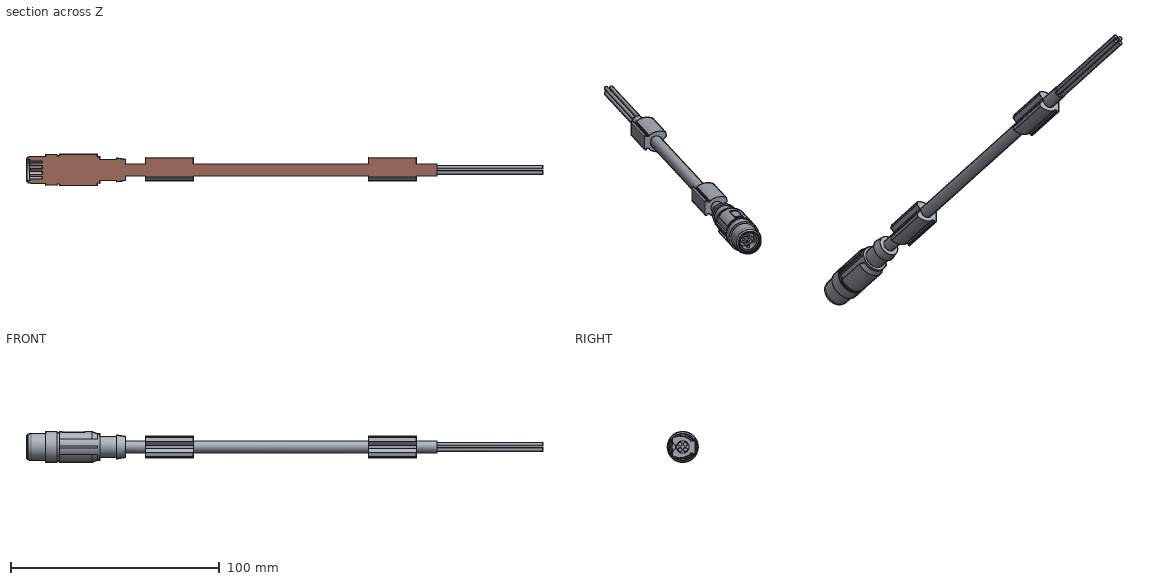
import cadquery as cq
import math


total_length = 247.3

nut_front_length = 9.2
nut_ring_end = 14.5
grip_start = 15.8
taper_start = 31.5
grip_end = 34.0
shoulder_end = 35.0
flange_start = 43.0
connector_end = 47.5

nut_front_radius = 13.0 / 2
nut_nose_radius = 5.5
nut_step_radius = 6.2
nut_step_length = 0.7
nut_nose_length = 2.2
grip_radius = 7.5
neck_radius = 7.0
shoulder_radius = 6.5
sleeve_radius = 10.1 / 2
flange_radius = 11.5 / 2

mouth_radius = 5.0
mouth_depth = 1.5
socket_radius = 4.2
socket_depth = 7.5
pin_radius = 0.62
pin_circle_radius = 2.7
pin_setback = 1.5
pin_count = 4
key_width = 1.0
key_height = 1.0

panel_width = 7.5
panel_radius = 6.5
rib_tip = 15.0 / 2
rib_width = 1.0

window_start = 17.0
window_end = 28.0
window_width = 4.0
window_floor = 7.0
notch_length = 2.7
notch_floor = 6.2

cable_radius = 3.0
cable_end = 196.5
wire_radius = 0.95
wire_offset = 1.29
wire_embed = 2.5

clip_length = 23.0
clip_starts = (57.0, 163.7)
clip_half_height = 5.2
clip_arc_radius = 8.0
clip_arc_center_y = -1.5
clip_nose_y = -4.7
clip_front_y = -5.2
clip_back_y = 3.5
clip_neck_y = 3.7
clip_neck_half_height = 3.0
plate_inner_y = 5.0
plate_outer_y = 6.0
plate_half_height = 3.7
plate_round = 0.7
groove_floor_y = -3.5
groove_floor_half_height = 0.7
groove_mouth_half_height = 5.2 / 2


def cylinder(start, end, radius, y=0.0, z=0.0):
    """Cylinder along X between two stations."""
    return cq.Workplane("YZ", origin=(start, y, z)).circle(radius).extrude(end - start)


def block(start, end, y_min, y_max, z_min, z_max):
    """Box given by its limits along each axis."""
    size = (end - start, y_max - y_min, z_max - z_min)
    return cq.Workplane("XY", origin=(start, y_min, z_min)).box(*size, centered=False)


def connector_body():
    """Turned outline of nut, grip, shoulder and strain relief."""
    outline = [
        (0, 0),
        (0, nut_nose_radius),
        (nut_step_length, nut_step_radius),
        (nut_nose_length, nut_front_radius),
        (nut_front_length, nut_front_radius),
        (nut_front_length, grip_radius),
        (nut_ring_end, grip_radius),
        (nut_ring_end, neck_radius),
        (grip_start, neck_radius),
        (grip_start, grip_radius),
        (taper_start, grip_radius),
        (grip_end, shoulder_radius),
        (shoulder_end, shoulder_radius),
        (shoulder_end, sleeve_radius),
        (flange_start, sleeve_radius),
        (flange_start, flange_radius),
        (connector_end, sleeve_radius),
        (connector_end, 0),
    ]
    return cq.Workplane("XY").polyline(outline).close().revolve(360, (0, 0, 0), (1, 0, 0))


def side_panels():
    """Material removed from both sides of the grip, down to the panel radius."""
    half_width = panel_width / 2
    band = block(grip_start, grip_end, -grip_radius, grip_radius, -half_width, half_width)
    return band.cut(cylinder(grip_start, grip_end, panel_radius))


def grip_ribs():
    """One thin rib standing on each side panel."""
    half_width = rib_width / 2
    return block(grip_start, grip_end, -rib_tip, rib_tip, -half_width, half_width)


def marker_window():
    """Shallow window on top of the grip with a deeper notch at its front end."""
    half_width = window_width / 2
    notch_end = window_start + notch_length
    window = block(window_start, window_end, -half_width, half_width, window_floor, grip_radius)
    notch = block(window_start, notch_end, -half_width, half_width, notch_floor, grip_radius)
    return window.union(notch)


def socket():
    """Stepped round cavity in the front of the nut."""
    return cylinder(0, mouth_depth, mouth_radius).union(cylinder(0, socket_depth, socket_radius))


def contacts():
    """Centre pin, the ring of pins around it and the coding key at 45 degrees."""
    pins = cylinder(pin_setback, socket_depth, pin_radius)
    for index in range(pin_count):
        angle = 2 * math.pi * index / pin_count
        pin_y = pin_circle_radius * math.cos(angle)
        pin_z = pin_circle_radius * math.sin(angle)
        pins = pins.union(cylinder(pin_setback, socket_depth, pin_radius, pin_y, pin_z))
    key_tip = socket_radius - key_height
    key = block(mouth_depth, socket_depth, key_tip, mouth_radius, -key_width / 2, key_width / 2)
    return pins.union(key.rotate((0, 0, 0), (1, 0, 0), 45))


def lens_height(y):
    """Half height of the clip section at a given Y."""
    arc_center_z = clip_half_height - clip_arc_radius
    return arc_center_z + math.sqrt(clip_arc_radius**2 - (y - clip_arc_center_y) ** 2)


def label_clip(start):
    """Clip around the cable with a flanged plate behind and a V groove in front."""
    nose_z = lens_height(clip_nose_y)
    back_z = lens_height(clip_back_y)
    lens = (
        cq.Workplane("YZ", origin=(start, 0, 0))
        .moveTo(clip_front_y, -groove_mouth_half_height)
        .lineTo(clip_front_y, groove_mouth_half_height)
        .lineTo(clip_nose_y, nose_z)
        .threePointArc((clip_arc_center_y, clip_half_height), (clip_back_y, back_z))
        .lineTo(clip_neck_y, clip_neck_half_height)
        .lineTo(clip_neck_y, -clip_neck_half_height)
        .lineTo(clip_back_y, -back_z)
        .threePointArc((clip_arc_center_y, -clip_half_height), (clip_nose_y, -nose_z))
        .close()
        .extrude(clip_length)
    )
    groove = (
        cq.Workplane("YZ", origin=(start, 0, 0))
        .moveTo(clip_front_y, -groove_mouth_half_height)
        .lineTo(groove_floor_y, -groove_floor_half_height)
        .lineTo(groove_floor_y, groove_floor_half_height)
        .lineTo(clip_front_y, groove_mouth_half_height)
        .close()
        .extrude(clip_length)
    )
    end = start + clip_length
    neck = block(start, end, 0, plate_outer_y, -clip_neck_half_height, clip_neck_half_height)
    plate = block(start, end, plate_inner_y, plate_outer_y, -plate_half_height, plate_half_height)
    plate = plate.faces(">Y").edges("|X").fillet(plate_round)
    return lens.union(neck).union(plate).cut(groove)


def wires():
    """Four wires in a square, rooted in the cable."""
    bundle = cq.Workplane("XY")
    for y in (-wire_offset, wire_offset):
        for z in (-wire_offset, wire_offset):
            bundle = bundle.add(cylinder(cable_end - wire_embed, total_length, wire_radius, y, z))
    return bundle


result = connector_body().cut(side_panels()).union(grip_ribs())
result = result.cut(marker_window()).cut(socket()).union(contacts())
result = result.union(cylinder(shoulder_end, cable_end, cable_radius))
for clip_start in clip_starts:
    result = result.union(label_clip(clip_start))
result = result.union(wires())